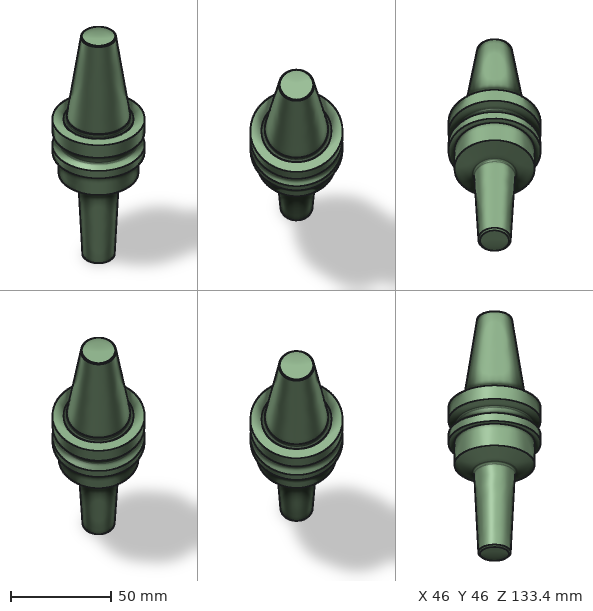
import cadquery as cq

total_height = 133.4

nose_tip_radius = 8.1
nose_root_radius = 10.3
nose_root_z = 46.4
nose_edge_chamfer = 1.0
nose_root_fillet = 1.5

body_radius = 20.0
shoulder_top_z = 50.7

flange_diameter = 46.0
flange_radius = flange_diameter / 2
flange_bottom_z = 63.0
flange_top_z = 83.1
groove_floor_radius = 19.2
groove_lower_edge_z = 67.5
groove_lower_floor_z = 69.6
groove_upper_floor_z = 73.4
groove_upper_edge_z = 75.5
groove_fillet = 1.0

recess_radius = 17.5
recess_depth = 1.0
recess_fillet = 0.5
recess_floor_z = flange_top_z - recess_depth

collar_radius = 15.9
collar_neck_radius = 15.6
collar_neck_top_z = 84.3
shank_taper_start_z = 85.0
shank_taper = 7 / 24
shank_edge_chamfer = 0.5
shank_top_radius = collar_radius - (total_height - shank_taper_start_z) * shank_taper / 2

profile = [
    (0, 0),
    (nose_tip_radius - nose_edge_chamfer, 0),
    (nose_tip_radius, nose_edge_chamfer),
    (nose_root_radius, nose_root_z),
    (body_radius, shoulder_top_z),
    (body_radius, flange_bottom_z),
    (flange_radius, flange_bottom_z),
    (flange_radius, groove_lower_edge_z),
    (groove_floor_radius, groove_lower_floor_z),
    (groove_floor_radius, groove_upper_floor_z),
    (flange_radius, groove_upper_edge_z),
    (flange_radius, flange_top_z),
    (recess_radius, flange_top_z),
    (recess_radius, recess_floor_z),
    (collar_neck_radius, recess_floor_z),
    (collar_neck_radius, collar_neck_top_z),
    (collar_radius, shank_taper_start_z),
    (shank_top_radius, total_height - shank_edge_chamfer),
    (shank_top_radius - shank_edge_chamfer, total_height),
    (0, total_height),
]


def fillet_ring(body, radius, height, fillet_radius):
    """Round the circular edge of the given radius lying at the given height."""
    tolerance = 0.01

    def is_ring(edge):
        same_radius = abs(edge.radius() - radius) < tolerance
        return same_radius and abs(edge.Center().z - height) < tolerance

    rings = [edge for edge in body.edges("%CIRCLE").vals() if is_ring(edge)]
    return body.newObject(rings).fillet(fillet_radius)


result = cq.Workplane("XZ").polyline(profile).close().revolve(360, (0, 0, 0), (0, 1, 0))

result = fillet_ring(result, nose_root_radius, nose_root_z, nose_root_fillet)
for floor_edge_z in (groove_lower_floor_z, groove_upper_floor_z):
    result = fillet_ring(result, groove_floor_radius, floor_edge_z, groove_fillet)
for wall_radius in (collar_neck_radius, recess_radius):
    result = fillet_ring(result, wall_radius, recess_floor_z, recess_fillet)